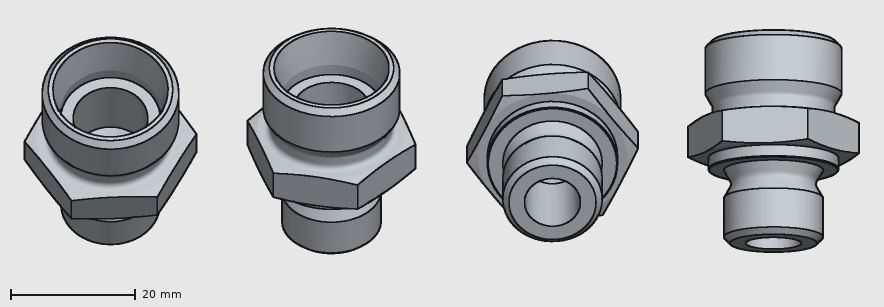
import cadquery as cq
import math

total_height = 33.0
end_chamfer = 1.0

upper_radius = 22.0 / 2
upper_bottom_z = 24.6
upper_groove_radius = 19.7 / 2
upper_groove_blend_radius = 1.0
groove_angle = math.radians(30)

across_flats = 24.02
hex_bottom_z = 14.0
hex_top_z = 20.0
hex_corner_angle = math.radians(15)
hex_fillet = 1.0

collar_radius = 21.0 / 2
collar_bottom_z = 12.0
collar_chamfer = 0.15

lower_radius = 16.0 / 2
lower_top_z = 7.4
lower_groove_blend_radius = 1.32

cone_mouth_radius = 9.27
cone_angle = math.radians(12)
socket_radius = 16.0 / 2
socket_depth = 8.0
counterbore_radius = 12.0 / 2
counterbore_bottom_z = hex_bottom_z
drill_point_angle = math.radians(30)
bore_radius = 9.0 / 2


def lower_body():
    """Lower cylinder, V groove with a rounded root, and the collar."""
    groove_mid_z = (lower_top_z + collar_bottom_z) / 2
    groove_depth = (collar_bottom_z - lower_top_z) / 2 * math.tan(groove_angle)
    tangent_rise = lower_groove_blend_radius * math.sin(groove_angle)
    tangent_radius = lower_radius - groove_depth + tangent_rise * math.tan(groove_angle)
    root_radius = tangent_radius - lower_groove_blend_radius * (1 - math.cos(groove_angle))
    return (
        cq.Workplane("XZ")
        .lineTo(lower_radius - end_chamfer, 0)
        .lineTo(lower_radius, end_chamfer)
        .lineTo(lower_radius, lower_top_z)
        .lineTo(tangent_radius, groove_mid_z - tangent_rise)
        .threePointArc((root_radius, groove_mid_z), (tangent_radius, groove_mid_z + tangent_rise))
        .lineTo(lower_radius, collar_bottom_z)
        .lineTo(collar_radius - collar_chamfer, collar_bottom_z)
        .lineTo(collar_radius, collar_bottom_z + collar_chamfer)
        .lineTo(collar_radius, hex_bottom_z)
        .lineTo(0, hex_bottom_z)
        .close()
        .revolve(360, (0, 0), (0, 1))
    )


def hexagon():
    """Hexagon with its corners turned off by shallow cones at both ends."""
    height = hex_top_z - hex_bottom_z
    flat_radius = across_flats / 2
    corner_radius = flat_radius / math.cos(math.pi / 6)
    corner_drop = (corner_radius - flat_radius) * math.tan(hex_corner_angle)
    prism = (
        cq.Workplane("XY")
        .workplane(offset=hex_bottom_z)
        .polygon(6, 2 * corner_radius)
        .extrude(height)
        .rotate((0, 0, 0), (0, 0, 1), 30)
    )
    turned_envelope = (
        cq.Workplane("XZ")
        .moveTo(0, hex_bottom_z)
        .lineTo(flat_radius, hex_bottom_z)
        .lineTo(corner_radius, hex_bottom_z + corner_drop)
        .lineTo(corner_radius, hex_top_z - corner_drop)
        .lineTo(flat_radius, hex_top_z)
        .lineTo(0, hex_top_z)
        .close()
        .revolve(360, (0, 0), (0, 1))
    )
    return prism.intersect(turned_envelope)


def upper_body():
    """Upper cylinder, its relief groove and the fillet onto the hexagon."""
    flank_drop = (upper_radius - upper_groove_radius) / math.tan(groove_angle)
    flank_bottom_z = upper_bottom_z - flank_drop
    blend_length = upper_groove_blend_radius * math.tan(groove_angle / 2)
    blend_start = (
        upper_groove_radius + blend_length * math.sin(groove_angle),
        flank_bottom_z + blend_length * math.cos(groove_angle),
    )
    blend_end = (upper_groove_radius, flank_bottom_z - blend_length)
    return (
        cq.Workplane("XZ")
        .moveTo(0, hex_top_z)
        .lineTo(upper_groove_radius + hex_fillet, hex_top_z)
        .radiusArc((upper_groove_radius, hex_top_z + hex_fillet), hex_fillet)
        .lineTo(*blend_end)
        .radiusArc(blend_start, upper_groove_blend_radius)
        .lineTo(upper_radius, upper_bottom_z)
        .lineTo(upper_radius, total_height - end_chamfer)
        .lineTo(upper_radius - end_chamfer, total_height)
        .lineTo(0, total_height)
        .close()
        .revolve(360, (0, 0), (0, 1))
    )


def bore():
    """Through bore with a drill-pointed counterbore, a socket and a tapered mouth."""
    floor_z = total_height - socket_depth
    drill_point_drop = (counterbore_radius - bore_radius) * math.tan(drill_point_angle)
    cone_bottom_z = total_height - (cone_mouth_radius - socket_radius) / math.tan(cone_angle)
    return (
        cq.Workplane("XZ")
        .lineTo(bore_radius, 0)
        .lineTo(bore_radius, counterbore_bottom_z - drill_point_drop)
        .lineTo(counterbore_radius, counterbore_bottom_z)
        .lineTo(counterbore_radius, floor_z)
        .lineTo(socket_radius, floor_z)
        .lineTo(socket_radius, cone_bottom_z)
        .lineTo(cone_mouth_radius, total_height)
        .lineTo(0, total_height)
        .close()
        .revolve(360, (0, 0), (0, 1))
    )


result = lower_body().union(hexagon()).union(upper_body()).cut(bore())